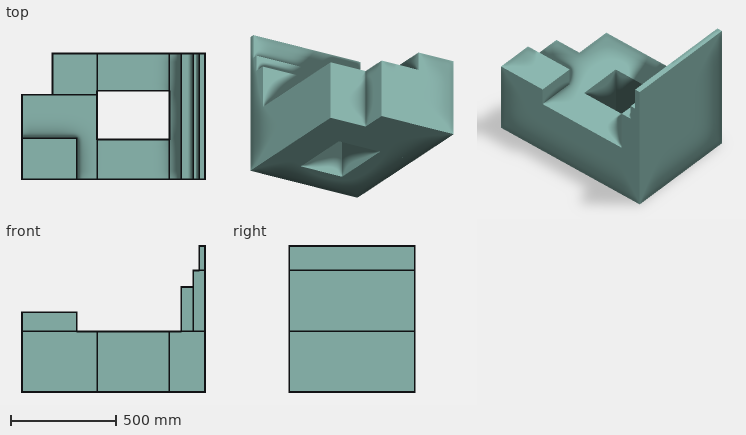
import cadquery as cq

LENGTH = 868.0
WIDTH = 597.0
BASE_HEIGHT = 288.0

FRONT_BLOCK_LENGTH = 356.0
FRONT_BLOCK_WIDTH = 402.0
SIDE_BLOCK_START = 144.0
REAR_BLOCK_START = 699.0
NEAR_BRIDGE_WIDTH = 190.0
FAR_BRIDGE_WIDTH = 177.0

PAD_LENGTH = 260.0
PAD_WIDTH = 196.0
PAD_HEIGHT = 90.0

PANEL_THICKNESS = 56.0
LOW_PANEL_HEIGHT = 210.0
HIGH_PANEL_HEIGHT = 288.0
RAIL_THICKNESS = 29.0
OVERALL_HEIGHT = 693.5

BRIDGE_LENGTH = REAR_BLOCK_START - FRONT_BLOCK_LENGTH
HIGH_PANEL_START = LENGTH - PANEL_THICKNESS
LOW_PANEL_START = HIGH_PANEL_START - PANEL_THICKNESS
RAIL_BOTTOM = BASE_HEIGHT + HIGH_PANEL_HEIGHT


def box_at(corner, size):
    """Return a box that extends along +X, +Y and +Z from its lowest corner."""
    return cq.Workplane("XY").box(*size, centered=False).translate(corner)


def base_block(x, y, length, width):
    """Return a block of the base, standing on the ground at (x, y)."""
    return box_at((x, y, 0), (length, width, BASE_HEIGHT))


def full_width_panel(x, bottom, thickness, height):
    """Return an upright panel that spans the whole width."""
    return box_at((x, 0, bottom), (thickness, WIDTH, height))


front_block = base_block(0, 0, FRONT_BLOCK_LENGTH, FRONT_BLOCK_WIDTH)
side_block = base_block(
    SIDE_BLOCK_START,
    FRONT_BLOCK_WIDTH,
    FRONT_BLOCK_LENGTH - SIDE_BLOCK_START,
    WIDTH - FRONT_BLOCK_WIDTH,
)
near_bridge = base_block(FRONT_BLOCK_LENGTH, 0, BRIDGE_LENGTH, NEAR_BRIDGE_WIDTH)
far_bridge = base_block(
    FRONT_BLOCK_LENGTH, WIDTH - FAR_BRIDGE_WIDTH, BRIDGE_LENGTH, FAR_BRIDGE_WIDTH
)
rear_block = base_block(REAR_BLOCK_START, 0, LENGTH - REAR_BLOCK_START, WIDTH)

pad = box_at((0, 0, BASE_HEIGHT), (PAD_LENGTH, PAD_WIDTH, PAD_HEIGHT))

low_panel = full_width_panel(LOW_PANEL_START, BASE_HEIGHT, PANEL_THICKNESS, LOW_PANEL_HEIGHT)
high_panel = full_width_panel(HIGH_PANEL_START, BASE_HEIGHT, PANEL_THICKNESS, HIGH_PANEL_HEIGHT)
top_rail = full_width_panel(
    LENGTH - RAIL_THICKNESS, RAIL_BOTTOM, RAIL_THICKNESS, OVERALL_HEIGHT - RAIL_BOTTOM
)

result = cq.Compound.makeCompound([
    front_block.val(),
    side_block.val(),
    near_bridge.val(),
    far_bridge.val(),
    rear_block.val(),
    pad.val(),
    low_panel.val(),
    high_panel.val(),
    top_rail.val(),
])